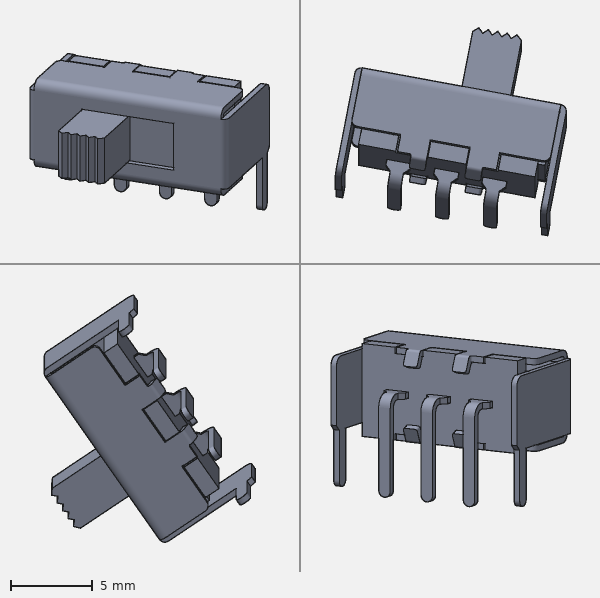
import cadquery as cq
import math


SHEET = 0.4

LENGTH = 13.2
HALF_LENGTH = LENGTH / 2
INNER_HALF_LENGTH = HALF_LENGTH - SHEET
HEIGHT = 5.81
HALF_HEIGHT = HEIGHT / 2
FLANGE_BEND = 0.6
FLANGE_DEPTH = 3.8
FLANGE_CORNER = 0.4
WINDOW_LENGTH = 6.12
WINDOW_HEIGHT = 3.09

WALL_DEPTH = 6.85
WALL_HALF_HEIGHT = HALF_HEIGHT - FLANGE_BEND
WALL_CORNER = 0.6
WALL_CHAMFER = 0.34
LEG_WIDTH = 0.8
LEG_BACK = WALL_DEPTH - WALL_CHAMFER
LEG_BOTTOM = -5.89

BASE_LENGTH = 11.02
BASE_FRONT = 3.9
BASE_BACK = 4.9
NOTCH_INNER = 1.2
NOTCH_OUTER = 3.2

TAB_INNER = 1.24
TAB_OUTER = 3.09
HOOK_WIDTH = 0.99
HOOK_TILT = math.radians(23)
HOOK_CORNER = 5.16
HOOK_BACK = 5.57
HOOK_BEND = 0.24
HOOK_ROOT = 0.1
HOOK_TIP_CORNER = 0.16

BLOCK_LEFT = -5.94
BLOCK_RIGHT = 3.56
BLOCK_HEIGHT = 4.2
TOOTH_COUNT = 5
TOOTH_PITCH = 0.6
TOOTH_DEPTH = TOOTH_PITCH / 2
STEM_LENGTH = 3.05
STEM_HEIGHT = 3.0
STEM_CENTER = -1.5
STEM_TIP = -4.0

TERMINAL_PITCH = 3.0
TERMINAL_XS = (-TERMINAL_PITCH, 0, TERMINAL_PITCH)
TERMINAL_WIDTH = 0.82
TERMINAL_BACK = 6.51
TERMINAL_BOTTOM = -6.19
TERMINAL_BEND = 0.8
SHOULDER_WIDTH = 1.5
SHOULDER_BACK = 5.24
SHOULDER_TAPER = (SHOULDER_WIDTH - TERMINAL_WIDTH) / 2


def box(x_range, y_range, z_range):
    """Box between the given limits on each axis."""
    x0, x1 = x_range
    y0, y1 = y_range
    z0, z1 = z_range
    return cq.Workplane("XY").box(x1 - x0, y1 - y0, z1 - z0, centered=False).translate((x0, y0, z0))


def along_x(outline):
    """Extrude a closed YZ outline far enough in both X directions to span the part."""
    return outline.extrude(LENGTH, both=True)


def along_z(outline):
    """Extrude a closed XY outline far enough in both Z directions to span the part."""
    return outline.extrude(LENGTH, both=True)


def channel():
    """Front wall with the top and bottom flanges, bent from one sheet."""
    outer = box(
        (-INNER_HALF_LENGTH, INNER_HALF_LENGTH), (0, FLANGE_DEPTH), (-HALF_HEIGHT, HALF_HEIGHT)
    )
    outer = outer.edges("|X and <Y").fillet(FLANGE_BEND)
    outer = outer.edges("|Z and >Y").fillet(FLANGE_CORNER)
    inner_half_height = HALF_HEIGHT - SHEET
    inner = box(
        (-HALF_LENGTH, HALF_LENGTH), (SHEET, WALL_DEPTH), (-inner_half_height, inner_half_height)
    )
    inner = inner.edges("|X and <Y").fillet(FLANGE_BEND - SHEET)
    window = box(
        (-WINDOW_LENGTH / 2, WINDOW_LENGTH / 2), (0, SHEET), (-WINDOW_HEIGHT / 2, WINDOW_HEIGHT / 2)
    )
    return outer.cut(inner).cut(window)


def side_wall():
    """Right-hand wall with its rounded front corner and its mounting leg."""
    leg_front = LEG_BACK - LEG_WIDTH
    leg_radius = LEG_WIDTH / 2
    leg_round = LEG_BOTTOM + leg_radius
    corner_mid = WALL_CORNER * (1 - math.sqrt(0.5))
    profile = along_x(
        cq.Workplane("YZ")
        .moveTo(0, -WALL_HALF_HEIGHT)
        .lineTo(0, WALL_HALF_HEIGHT)
        .lineTo(WALL_DEPTH - WALL_CORNER, WALL_HALF_HEIGHT)
        .threePointArc(
            (WALL_DEPTH - corner_mid, WALL_HALF_HEIGHT - corner_mid),
            (WALL_DEPTH, WALL_HALF_HEIGHT - WALL_CORNER),
        )
        .lineTo(WALL_DEPTH, WALL_CHAMFER - WALL_HALF_HEIGHT)
        .lineTo(LEG_BACK, -WALL_HALF_HEIGHT)
        .lineTo(LEG_BACK, leg_round)
        .threePointArc((LEG_BACK - leg_radius, LEG_BOTTOM), (leg_front, leg_round))
        .lineTo(leg_front, -WALL_HALF_HEIGHT)
        .close()
    )
    bend_mid = SHEET * math.sqrt(0.5)
    plan = along_z(
        cq.Workplane("XY")
        .moveTo(INNER_HALF_LENGTH, 0)
        .threePointArc((INNER_HALF_LENGTH + bend_mid, SHEET - bend_mid), (HALF_LENGTH, SHEET))
        .lineTo(HALF_LENGTH, WALL_DEPTH)
        .lineTo(INNER_HALF_LENGTH, WALL_DEPTH)
        .close()
    )
    return profile.intersect(plan)


def tab():
    """Top right-hand tab: its bent section limited to its outline in plan."""
    inner_face = HALF_HEIGHT - SHEET
    inner_corner = HOOK_CORNER + SHEET * math.tan(HOOK_TILT) - SHEET / math.cos(HOOK_TILT)
    tip_height = HALF_HEIGHT - (HOOK_BACK - HOOK_CORNER) / math.tan(HOOK_TILT)
    section = along_x(
        cq.Workplane("YZ").polyline([
            (FLANGE_DEPTH, inner_face),
            (FLANGE_DEPTH, HALF_HEIGHT),
            (HOOK_CORNER, HALF_HEIGHT),
            (HOOK_BACK, tip_height),
            (HOOK_BACK - SHEET * math.cos(HOOK_TILT), tip_height - SHEET * math.sin(HOOK_TILT)),
            (inner_corner, inner_face),
        ]).close()
    )
    bend_edge = cq.selectors.NearestToPointSelector((0, HOOK_CORNER, HALF_HEIGHT))
    section = section.edges("|X").edges(bend_edge).fillet(HOOK_BEND)

    hook_side = TAB_INNER + HOOK_WIDTH
    root_mid = HOOK_ROOT * (1 - math.sqrt(0.5))
    plan = along_z(
        cq.Workplane("XY")
        .moveTo(TAB_INNER, FLANGE_DEPTH)
        .lineTo(TAB_OUTER, FLANGE_DEPTH)
        .lineTo(TAB_OUTER, BASE_BACK)
        .lineTo(hook_side + HOOK_ROOT, BASE_BACK)
        .threePointArc(
            (hook_side + root_mid, BASE_BACK + root_mid), (hook_side, BASE_BACK + HOOK_ROOT)
        )
        .lineTo(hook_side, HOOK_BACK)
        .lineTo(TAB_INNER, HOOK_BACK)
        .close()
    )
    tip_edges = cq.selectors.ParallelDirSelector(cq.Vector(0, math.cos(HOOK_TILT), math.sin(HOOK_TILT)))
    return section.intersect(plan).edges(tip_edges).fillet(HOOK_TIP_CORNER)


def make_frame():
    """Sheet-metal frame: channel, two side walls and four tabs."""
    top_tab = tab()
    right_half = side_wall().union(top_tab).union(top_tab.mirror("XY"))
    return channel().union(right_half).union(right_half.mirror("YZ"))


def base_plate():
    """Plate behind the flanges, notched top and bottom where the tabs pass."""
    plate = box(
        (-BASE_LENGTH / 2, BASE_LENGTH / 2), (BASE_FRONT, BASE_BACK), (-HALF_HEIGHT, HALF_HEIGHT)
    )
    notch = box(
        (NOTCH_INNER, NOTCH_OUTER), (BASE_FRONT, BASE_BACK), (HALF_HEIGHT - SHEET, HALF_HEIGHT)
    )
    notches = notch.union(notch.mirror("XY"))
    return plate.cut(notches).cut(notches.mirror("YZ"))


def slider():
    """Block between the front wall and the base, with a toothed stem through the window."""
    block = box((BLOCK_LEFT, BLOCK_RIGHT), (SHEET, BASE_FRONT), (-BLOCK_HEIGHT / 2, BLOCK_HEIGHT / 2))
    stem_left = STEM_CENTER - STEM_LENGTH / 2
    stem_right = STEM_CENTER + STEM_LENGTH / 2
    first_tip = STEM_CENTER - TOOTH_PITCH * (TOOTH_COUNT - 1) / 2
    valley = STEM_TIP + TOOTH_DEPTH
    outline = [(stem_right, SHEET), (stem_left, SHEET), (stem_left, valley)]
    for i in range(TOOTH_COUNT):
        tip = first_tip + i * TOOTH_PITCH
        outline.append((tip, STEM_TIP))
        if i < TOOTH_COUNT - 1:
            outline.append((tip + TOOTH_PITCH / 2, valley))
    outline.append((stem_right, valley))
    stem = cq.Workplane("XY").polyline(outline).close().extrude(STEM_HEIGHT / 2, both=True)
    return block.union(stem)


def terminal(x):
    """Terminal that leaves the base at mid height and bends down to a rounded end."""
    strip_top = SHEET / 2
    bend = (
        box(
            (-SHOULDER_WIDTH / 2, SHOULDER_WIDTH / 2),
            (BASE_BACK, TERMINAL_BACK),
            (TERMINAL_BOTTOM, strip_top),
        )
        .edges("|X and >Y and >Z").fillet(TERMINAL_BEND)
    )
    hollow = (
        box(
            (-SHOULDER_WIDTH, SHOULDER_WIDTH),
            (0, TERMINAL_BACK - SHEET),
            (TERMINAL_BOTTOM - SHEET, strip_top - SHEET),
        )
        .edges("|X and >Y and >Z").fillet(TERMINAL_BEND - SHEET)
    )
    half_width = TERMINAL_WIDTH / 2
    half_shoulder = SHOULDER_WIDTH / 2
    taper_back = SHOULDER_BACK + SHOULDER_TAPER
    plan = along_z(
        cq.Workplane("XY").polyline([
            (-half_shoulder, BASE_BACK),
            (half_shoulder, BASE_BACK),
            (half_shoulder, SHOULDER_BACK),
            (half_width, taper_back),
            (half_width, TERMINAL_BACK),
            (-half_width, TERMINAL_BACK),
            (-half_width, taper_back),
            (-half_shoulder, SHOULDER_BACK),
        ]).close()
    )
    round_center = TERMINAL_BOTTOM + half_width
    end_round = (
        cq.Workplane("XZ")
        .moveTo(-half_width, round_center)
        .threePointArc((0, TERMINAL_BOTTOM), (half_width, round_center))
        .lineTo(half_width, TERMINAL_BOTTOM)
        .lineTo(-half_width, TERMINAL_BOTTOM)
        .close()
        .extrude(-LENGTH)
    )
    return bend.cut(hollow).intersect(plan).cut(end_round).translate((x, 0, 0))


def make_core():
    """Core inside the frame: base plate, slider and terminals."""
    body = base_plate().union(slider())
    for x in TERMINAL_XS:
        body = body.union(terminal(x))
    return body


frame = make_frame()
core = make_core()

result = cq.Compound.makeCompound([frame.solids().val(), core.solids().val()])